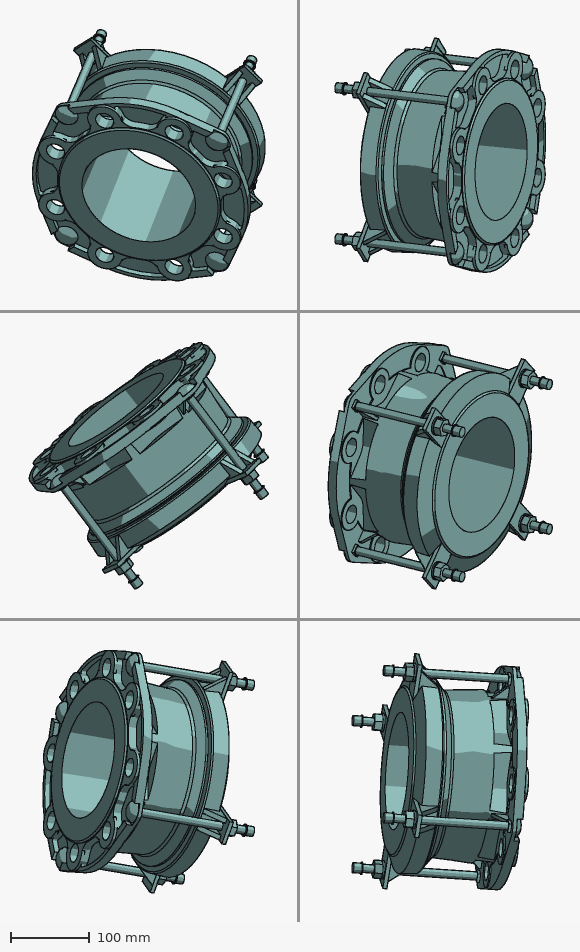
import cadquery as cq
import math

OVERLAP = 0.5

BORE_RADIUS = 75.0
SEAT_RADIUS = 214.0 / 2
SEAT_CHAMFER = 2.3
BOSS_FRONT_Y = 3.0
RIM_FRONT_Y = 7.0
POCKET_FLOOR_Y = 14.5
FLANGE_BACK_Y = 19.7
BACK_BOSS_Y = 21.5
FLANGE_RADIUS = 142.5
ARC_HALF_ANGLE = 19.5
ARC_RIM_WIDTH = 5.0
CORNER_RIM_WIDTH = 10.0
POCKET_INNER_RADIUS = 108.0
POCKET_INNER_FILLET = 17.0
POCKET_OUTER_FILLET = 2.5
BLEND_RADIUS = 116.8

HOLE_COUNT = 8
HOLE_CIRCLE_RADIUS = 119.7
HOLE_DIAMETER = 24.0
BOSS_RADIUS = 22.5
BACK_BOSS_RADIUS = 21.0

CLEARANCE_TOP_Y = 43.3
CLEARANCE_RADIUS = 26.5
CLEARANCE_SLOPE = 20.0
CLEARANCE_REACH = 34.2

SLEEVE_BASE_RADIUS = 113.0
SLEEVE_NECK_RADIUS = 107.2
SLEEVE_NECK_Y = 95.0
FLARE_FOOT_RADIUS = 109.5
FLARE_FOOT_Y = 98.5
FLARE_RADIUS = 120.5
FLARE_Y = 107.5
FLARE_BACK_Y = 110.3
GROOVE_RADIUS = 116.8
RING_FRONT_Y = 112.0
RING_CHAMFER = 2.0
RING_FRONT_RADIUS = 128.8
RING_RADIUS = 130.2
RING_SHOULDER_Y = 135.7
RING_LIP_RADIUS = 109.2
RING_LIP_Y = 144.8
RING_BACK_Y = 147.0
LIP_STEP = 2.3

CORNER_COUNT = 4
LUG_WIDTH = 32.0
LUG_REACH = 159.3
LUG_FRONT_Y = 139.5
LUG_RIB_THICKNESS = 6.8
LUG_RIB_INSET = 0.5
LUG_RIB_REACH = 149.5
LUG_ROOT = 102.5

CORNER_RIB_THICKNESS = 4.8
CORNER_RIB_ROOT = 105.5
CORNER_RIB_START = 110.3
CORNER_RIB_REACH = 128.2
CORNER_RIB_TOP_Y = 41.5
CORNER_RIB_TOE_Y = 23.5

BOLT_CIRCLE_RADIUS = 140.2
HEAD_DIAMETER = 30.0
HEAD_HEIGHT = 7.7
HEAD_RECESS_WIDTH = 30.8
NECK_WIDTH = 12.0
NECK_BACK_Y = 23.5
ROD_DIAMETER = 10.8
WASHER_DIAMETER = 24.0
NUT_SIDES = 6
NUT_CORNER_DIAMETER = 23.5
NUT_BACK_Y = 157.3
COLLAR_DIAMETER = 16.0
COLLAR_Y = 172.5
COLLAR_THICKNESS = 0.9
TIP_DIAMETER = 13.0
BOLT_END_Y = 184.0


def plane_at(y):
    """Sketch plane across the pipe axis: local x is X, local y is Z."""
    return cq.Workplane("XZ", origin=(0, y, 0))


def cylinder(radius, y_start, y_end, offset=0):
    return plane_at(y_start).center(offset, 0).circle(radius).extrude(y_start - y_end)


def around(shape, count, first_angle):
    """Copies of a shape made on the +X side, spread evenly around the axis."""
    copies = [
        shape.rotate((0, 0, 0), (0, 1, 0), first_angle + index * 360 / count)
        for index in range(count)
    ]
    ring = copies[0]
    for copy in copies[1:]:
        ring = ring.union(copy)
    return ring


def at_corners(shape):
    return around(shape, CORNER_COUNT, 45)


def at_holes(shape):
    return around(shape, HOLE_COUNT, 180 / HOLE_COUNT)


def polar(radius, degrees):
    angle = math.radians(degrees)
    return (radius * math.cos(angle), radius * math.sin(angle))


def flange_plate(inset, y_start, y_end):
    """Four arcs about the axis joined by tangent lines to arcs about the bolts."""
    radius = FLANGE_RADIUS - inset
    lean = 45 - ARC_HALF_ANGLE
    bolt_x, bolt_z = polar(BOLT_CIRCLE_RADIUS, 45)
    corner_radius = radius - BOLT_CIRCLE_RADIUS * math.cos(math.radians(lean))

    def turned(point, degrees):
        return polar(math.hypot(*point), math.degrees(math.atan2(point[1], point[0])) + degrees)

    def on_corner(degrees):
        x, z = polar(corner_radius, degrees)
        return (bolt_x + x, bolt_z + z)

    outline = plane_at(y_start).moveTo(*polar(radius, -ARC_HALF_ANGLE))
    for side in range(CORNER_COUNT):
        turn = side * 90
        outline = outline.threePointArc(polar(radius, turn), polar(radius, turn + ARC_HALF_ANGLE))
        outline = outline.lineTo(*turned(on_corner(45 - lean), turn))
        outline = outline.threePointArc(
            turned(on_corner(45), turn), turned(on_corner(45 + lean), turn)
        )
        if side < CORNER_COUNT - 1:
            outline = outline.lineTo(*polar(radius, turn + 90 - ARC_HALF_ANGLE))
    return outline.close().extrude(y_start - y_end)


def axis_distance(edge):
    center = edge.Center()
    return math.hypot(center.x, center.z)


def make_pockets():
    """Pockets between the hole bosses, opened outward at the bolt heads."""
    hole_spacing = 2 * HOLE_CIRCLE_RADIUS * math.sin(math.pi / HOLE_COUNT)
    corner_block = cq.Workplane("XY").box(
        BOLT_CIRCLE_RADIUS + HEAD_DIAMETER, POCKET_FLOOR_Y, hole_spacing, centered=(False, False, True)
    )
    corner_blocks = at_corners(corner_block)
    side_pockets = flange_plate(ARC_RIM_WIDTH, 0, POCKET_FLOOR_Y).cut(corner_blocks)
    corner_pockets = flange_plate(CORNER_RIM_WIDTH, 0, POCKET_FLOOR_Y).intersect(corner_blocks)
    pockets = side_pockets.union(corner_pockets)
    pockets = pockets.cut(cylinder(POCKET_INNER_RADIUS, 0, POCKET_FLOOR_Y))
    pockets = pockets.cut(at_holes(cylinder(BOSS_RADIUS, 0, POCKET_FLOOR_Y, HOLE_CIRCLE_RADIUS)))
    outer = pockets.edges("|Y").filter(
        lambda edge: HOLE_CIRCLE_RADIUS < axis_distance(edge) < FLANGE_RADIUS
    )
    pockets = outer.fillet(POCKET_OUTER_FILLET)
    inner = pockets.edges("|Y").filter(lambda edge: axis_distance(edge) < HOLE_CIRCLE_RADIUS)
    pockets = inner.fillet(POCKET_INNER_FILLET)

    recess = cylinder(HEAD_RECESS_WIDTH / 2, 0, POCKET_FLOOR_Y, BOLT_CIRCLE_RADIUS)
    opening = cq.Workplane("XY").box(
        HEAD_RECESS_WIDTH, POCKET_FLOOR_Y, HEAD_RECESS_WIDTH, centered=(False, False, True)
    ).translate((BOLT_CIRCLE_RADIUS, 0, 0))
    return pockets.union(at_corners(recess.union(opening)))


def make_flange():
    plate = flange_plate(0, RIM_FRONT_Y, FLANGE_BACK_Y)
    raised = cylinder(BLEND_RADIUS, BOSS_FRONT_Y, RIM_FRONT_Y + OVERLAP)
    boss = cylinder(BOSS_RADIUS, BOSS_FRONT_Y, RIM_FRONT_Y + OVERLAP, HOLE_CIRCLE_RADIUS)
    back_boss = cylinder(
        BACK_BOSS_RADIUS, FLANGE_BACK_Y - OVERLAP, BACK_BOSS_Y, HOLE_CIRCLE_RADIUS
    )
    flange = plate.union(raised).union(at_holes(boss)).cut(make_pockets())
    return flange.union(at_holes(back_boss))


def make_sleeve():
    """Solid of revolution: sealing face, sleeve, flare and clamp ring."""
    profile = [
        (BORE_RADIUS, 0),
        (SEAT_RADIUS - SEAT_CHAMFER, 0),
        (SEAT_RADIUS, SEAT_CHAMFER),
        (SEAT_RADIUS, FLANGE_BACK_Y - OVERLAP),
        (SLEEVE_BASE_RADIUS, FLANGE_BACK_Y - OVERLAP),
        (SLEEVE_NECK_RADIUS, SLEEVE_NECK_Y),
        (FLARE_FOOT_RADIUS, FLARE_FOOT_Y),
        (FLARE_RADIUS, FLARE_Y),
        (FLARE_RADIUS, FLARE_BACK_Y),
        (GROOVE_RADIUS, FLARE_BACK_Y),
        (GROOVE_RADIUS, RING_FRONT_Y),
        (RING_FRONT_RADIUS - RING_CHAMFER, RING_FRONT_Y),
        (RING_FRONT_RADIUS, RING_FRONT_Y + RING_CHAMFER),
        (RING_RADIUS, RING_SHOULDER_Y),
        (RING_LIP_RADIUS, RING_LIP_Y),
        (RING_LIP_RADIUS - LIP_STEP, RING_BACK_Y),
        (BORE_RADIUS, RING_BACK_Y),
    ]
    return cq.Workplane("XY").polyline(profile).close().revolve(360, (0, 0, 0), (0, 1, 0))


def make_nut_clearance():
    """Round pocket about a flange hole with two flat sides tangent to it."""
    slope = math.radians(CLEARANCE_SLOPE)
    touch_x = HOLE_CIRCLE_RADIUS - CLEARANCE_RADIUS * math.cos(slope)
    touch_z = CLEARANCE_RADIUS * math.sin(slope)
    end_x = touch_x + CLEARANCE_REACH * math.sin(slope)
    end_z = touch_z + CLEARANCE_REACH * math.cos(slope)
    return (
        plane_at(BACK_BOSS_Y)
        .moveTo(touch_x, -touch_z)
        .threePointArc((HOLE_CIRCLE_RADIUS - CLEARANCE_RADIUS, 0), (touch_x, touch_z))
        .lineTo(end_x, end_z)
        .lineTo(HOLE_CIRCLE_RADIUS, end_z)
        .lineTo(HOLE_CIRCLE_RADIUS, -end_z)
        .lineTo(end_x, -end_z)
        .close()
        .extrude(BACK_BOSS_Y - CLEARANCE_TOP_Y)
    )


def make_rib(points, thickness, z_center):
    """Flat rib whose outline is given as (distance from axis, Y) points."""
    rib = cq.Workplane("XY").polyline(points).close().extrude(thickness / 2, both=True)
    return rib.translate((0, 0, z_center))


def make_lug():
    lug = cq.Workplane("XY").box(
        LUG_REACH - LUG_ROOT, RING_LIP_Y - LUG_FRONT_Y, LUG_WIDTH, centered=(False, False, True)
    ).translate((LUG_ROOT, LUG_FRONT_Y, 0))
    rib_outline = [
        (LUG_ROOT, RING_FRONT_Y + RING_CHAMFER),
        (RING_FRONT_RADIUS, RING_FRONT_Y + RING_CHAMFER),
        (LUG_RIB_REACH, LUG_FRONT_Y),
        (LUG_RIB_REACH, LUG_FRONT_Y + OVERLAP),
        (LUG_ROOT, LUG_FRONT_Y + OVERLAP),
    ]
    rib_z = (LUG_WIDTH - LUG_RIB_THICKNESS) / 2 - LUG_RIB_INSET
    for side in (-1, 1):
        lug = lug.union(make_rib(rib_outline, LUG_RIB_THICKNESS, side * rib_z))
    return lug


def make_corner_rib():
    outline = [
        (CORNER_RIB_ROOT, FLANGE_BACK_Y - OVERLAP),
        (CORNER_RIB_REACH, FLANGE_BACK_Y - OVERLAP),
        (CORNER_RIB_REACH, CORNER_RIB_TOE_Y),
        (CORNER_RIB_START, CORNER_RIB_TOP_Y),
        (CORNER_RIB_ROOT, CORNER_RIB_TOP_Y),
    ]
    return make_rib(outline, CORNER_RIB_THICKNESS, 0)


def make_bolt():
    """Domed head, square neck, rod, washer, nut, collar and tip."""
    head_front_y = POCKET_FLOOR_Y - HEAD_HEIGHT
    half_head = HEAD_DIAMETER / 2
    dome_middle = (half_head * math.sqrt(0.5), POCKET_FLOOR_Y - HEAD_HEIGHT * math.sqrt(0.5))
    head = (
        cq.Workplane("XY")
        .moveTo(0, head_front_y)
        .threePointArc(dome_middle, (half_head, POCKET_FLOOR_Y))
        .lineTo(half_head, POCKET_FLOOR_Y + OVERLAP)
        .lineTo(0, POCKET_FLOOR_Y + OVERLAP)
        .close()
        .revolve(360, (0, 0, 0), (0, 1, 0))
    )
    neck = plane_at(POCKET_FLOOR_Y).rect(NECK_WIDTH, NECK_WIDTH).extrude(POCKET_FLOOR_Y - NECK_BACK_Y)
    nut = (
        plane_at(RING_BACK_Y)
        .polygon(NUT_SIDES, NUT_CORNER_DIAMETER)
        .extrude(RING_BACK_Y - NUT_BACK_Y)
        .rotate((0, 0, 0), (0, 1, 0), 180 / NUT_SIDES)
    )
    bolt = head.union(neck).union(nut)
    round_parts = [
        (ROD_DIAMETER, POCKET_FLOOR_Y, BOLT_END_Y),
        (WASHER_DIAMETER, RING_LIP_Y, RING_BACK_Y),
        (COLLAR_DIAMETER, COLLAR_Y, COLLAR_Y + COLLAR_THICKNESS),
        (TIP_DIAMETER, COLLAR_Y, BOLT_END_Y),
    ]
    for diameter, y_start, y_end in round_parts:
        bolt = bolt.union(cylinder(diameter / 2, y_start, y_end))
    return bolt.translate((BOLT_CIRCLE_RADIUS, 0, 0))


sleeve = make_sleeve().cut(at_holes(make_nut_clearance()))
flange = make_flange().cut(cylinder(BORE_RADIUS, 0, FLANGE_BACK_Y))
hole = cylinder(HOLE_DIAMETER / 2, 0, CLEARANCE_TOP_Y, HOLE_CIRCLE_RADIUS)

result = (
    sleeve.union(flange)
    .cut(at_holes(hole))
    .union(at_corners(make_corner_rib()))
    .union(at_corners(make_lug()))
    .union(at_corners(make_bolt()))
)